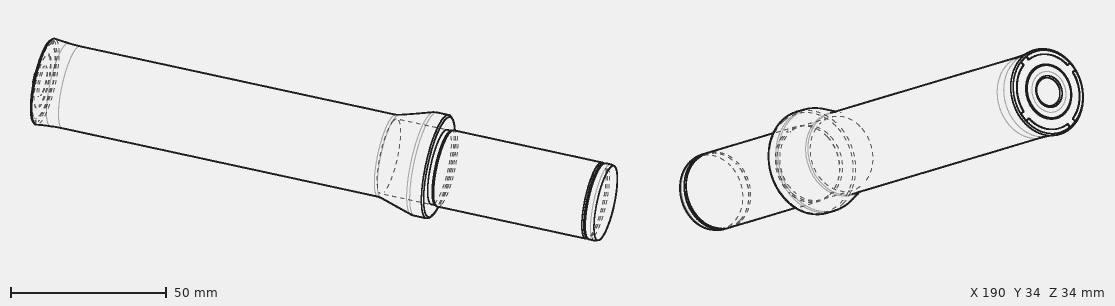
import cadquery as cq

length = 190.0
lip_start = 0.5
lip_chamfer = 0.5
lip_end = 5.9
lip_taper_end = 9.9
cone_start = 116.8
cone_end = 128.8
flange_end = 134.0
flange_chamfer = 0.5
shaft_step = 136.0
shaft_step_chamfer = 0.5
groove_start = 186.0
groove_end = 187.2
groove_middle = (groove_start + groove_end) / 2
end_chamfer = 1.1

lip_diameter = 28.3
lip_end_diameter = 27.4
barrel_diameter = 27.0
flange_diameter = 34.0
shaft_diameter = 25.0
neck_diameter = 24.5
cone_blend_radius = 3.8

end_face_rim_diameter = lip_diameter - 2 * lip_chamfer
end_face_rim_setback = 0.4
ring_outer_diameter = 17.9
ring_inner_diameter = 9.1
ring_height = 0.2
ring_chamfer = 0.4
ring_groove_diameter = 13.3
ring_groove_inner_diameter = 10.3
ring_groove_depth = 0.2
ring_floor_depth = 0.4

notch_count = 4
notch_inner_diameter = 24.5
notch_angle = 77.0

socket_depth = 17.1
socket_floor = flange_end - socket_depth


def turned(points):
    """Revolve an (x, diameter) outline, closed along the X axis."""
    outline = [(x, diameter / 2) for x, diameter in points]
    return cq.Workplane("XY").polyline(outline).close().revolve(360, (0, 0, 0), (1, 0, 0))


def cylinder(start, end, diameter):
    return turned([(start, 0), (start, diameter), (end, diameter), (end, 0)])


def make_notch(direction):
    """Cutter for one rim notch, an arc-shaped sector centred on an angle about X."""
    inner_radius = notch_inner_diameter / 2
    outer_radius = end_face_rim_diameter / 2
    return (
        cq.Workplane("XY")
        .polyline([(0, inner_radius), (0, outer_radius), (lip_start, outer_radius), (lip_start, inner_radius)])
        .close()
        .revolve(notch_angle, (0, 0, 0), (1, 0, 0))
        .rotate((0, 0, 0), (1, 0, 0), direction - notch_angle / 2)
    )


def make_housing():
    """Barrel with a notched lip, a ringed end face, a conical shoulder and a shaft socket."""
    body = turned([
        (ring_floor_depth, 0),
        (ring_floor_depth, ring_inner_diameter),
        (0, ring_groove_inner_diameter),
        (ring_groove_depth, ring_groove_diameter),
        (0, ring_outer_diameter - 2 * ring_chamfer),
        (ring_height, ring_outer_diameter),
        (end_face_rim_setback, end_face_rim_diameter),
        (lip_start, end_face_rim_diameter),
        (lip_start + lip_chamfer, lip_diameter),
        (lip_end, lip_end_diameter),
        (lip_taper_end, barrel_diameter),
        (cone_start, barrel_diameter),
        (cone_end, flange_diameter),
        (flange_end - flange_chamfer, flange_diameter),
        (flange_end, flange_diameter - 2 * flange_chamfer),
        (flange_end, 0),
    ])
    edge_tolerance = 0.2
    for station in (cone_start, cone_end):
        near_station = cq.selectors.BoxSelector(
            (station - edge_tolerance, -length, -length),
            (station + edge_tolerance, length, length),
        )
        circles = body.edges("%CIRCLE").edges(near_station)
        body = circles.fillet(cone_blend_radius)
    socket = cylinder(socket_floor, flange_end, neck_diameter)
    body = body.cut(socket)
    for index in range(notch_count):
        body = body.cut(make_notch(360 / notch_count * index))
    return body


def make_shaft():
    """Shaft seated in the socket, with a reduced neck, a V-groove and a chamfered end."""
    return turned([
        (socket_floor, 0),
        (socket_floor, neck_diameter),
        (shaft_step - shaft_step_chamfer, neck_diameter),
        (shaft_step, shaft_diameter),
        (groove_start, shaft_diameter),
        (groove_middle, neck_diameter),
        (groove_end, shaft_diameter),
        (length - end_chamfer, shaft_diameter),
        (length, neck_diameter),
        (length, 0),
    ])


housing = make_housing()
shaft = make_shaft()
result = cq.Compound.makeCompound([housing.val(), shaft.val()])